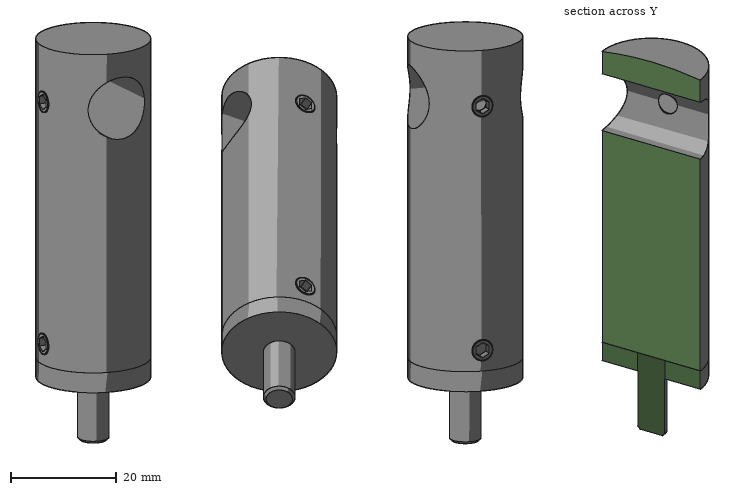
import cadquery as cq
import math


total_height = 80.3
body_diameter = 21.9
body_radius = body_diameter / 2

base_thickness = 3.9
stud_diameter = 6.0
stud_tip_diameter = 5.0
stud_chamfer = (stud_diameter - stud_tip_diameter) / 2
stud_exposed = 12.45

top_z = total_height - stud_exposed
crown_height = 0.9
rim_z = top_z - crown_height
cross_hole_diameter = 12.2
cross_hole_drop = 11.9
cross_hole_z = top_z - cross_hole_drop

screw_diameter = 4.2
screw_radius = screw_diameter / 2
screw_chamfer = 0.2
socket_across_flats = 2.6
socket_depth = 2.0
socket_drill_angle = 120.0
lower_screw_rise = 4.1
lower_screw_z = base_thickness + lower_screw_rise
upper_screw_z = cross_hole_z
screw_face_y = -body_radius
screw_tip_y = -cross_hole_diameter / 2


def cylinder_along_y(radius, start_y, end_y, z):
    """Round solid that runs from start_y to end_y, toward +Y, at height z."""
    plane = cq.Plane(origin=(0, start_y, z), xDir=(1, 0, 0), normal=(0, 1, 0))
    return cq.Workplane(plane).circle(radius).extrude(end_y - start_y)


def make_housing():
    """Round housing with a domed top, a cross hole along X and two screw holes."""
    profile = (
        cq.Workplane("XZ")
        .moveTo(0, base_thickness)
        .lineTo(body_radius, base_thickness)
        .lineTo(body_radius, rim_z)
    )
    crown_radius = (body_radius**2 + crown_height**2) / (2 * crown_height)
    crown_mid_x = body_radius / 2
    crown_mid_z = top_z - crown_radius + math.sqrt(crown_radius**2 - crown_mid_x**2)
    solid = (
        profile.threePointArc((crown_mid_x, crown_mid_z), (0, top_z))
        .close()
        .revolve(360, (0, 0, 0), (0, 1, 0))
    )
    cross_hole = (
        cq.Workplane("YZ")
        .center(0, cross_hole_z)
        .circle(cross_hole_diameter / 2)
        .extrude(body_radius, both=True)
    )
    solid = solid.cut(cross_hole)
    for z, end_y in ((lower_screw_z, screw_tip_y), (upper_screw_z, 0)):
        solid = solid.cut(cylinder_along_y(screw_radius, screw_face_y, end_y, z))
    return solid


def make_base():
    """Flat disc under the housing with a central through hole for the stud."""
    disc = cq.Workplane("XY").circle(body_radius).extrude(base_thickness)
    return disc.cut(cq.Workplane("XY").circle(stud_diameter / 2).extrude(base_thickness))


def make_stud():
    """Stud that fills the hole in the base and ends in a chamfered tip."""
    return (
        cq.Workplane("XY", origin=(0, 0, -stud_exposed))
        .circle(stud_diameter / 2)
        .extrude(stud_exposed + base_thickness)
        .faces("<Z")
        .chamfer(stud_chamfer)
    )


def make_screw(z, cone_bottom):
    """Set screw with a chamfered face and a hexagon socket that ends flat or in a cone."""
    screw = cylinder_along_y(screw_radius, screw_face_y, screw_tip_y, z)
    screw = screw.faces("<Y").chamfer(screw_chamfer)
    plane = cq.Plane(origin=(0, screw_face_y, z), xDir=(0, 0, 1), normal=(0, 1, 0))
    socket_across_points = socket_across_flats / math.cos(math.radians(30))
    screw = screw.cut(cq.Workplane(plane).polygon(6, socket_across_points).extrude(socket_depth))
    if cone_bottom:
        cone_radius = socket_across_flats / 2
        cone = cq.Solid.makeCone(
            cone_radius,
            0,
            cone_radius / math.tan(math.radians(socket_drill_angle / 2)),
            pnt=cq.Vector(0, screw_face_y + socket_depth, z),
            dir=cq.Vector(0, 1, 0),
        )
        screw = screw.cut(cq.Workplane(cone))
    return screw


housing = make_housing()
base = make_base()
stud = make_stud()
screws = []
for screw_z, has_cone in ((lower_screw_z, False), (upper_screw_z, True)):
    screws.append(make_screw(screw_z, has_cone))

result = cq.Compound.makeCompound(
    [housing.val(), base.val(), stud.val(), *[screw.val() for screw in screws]]
)